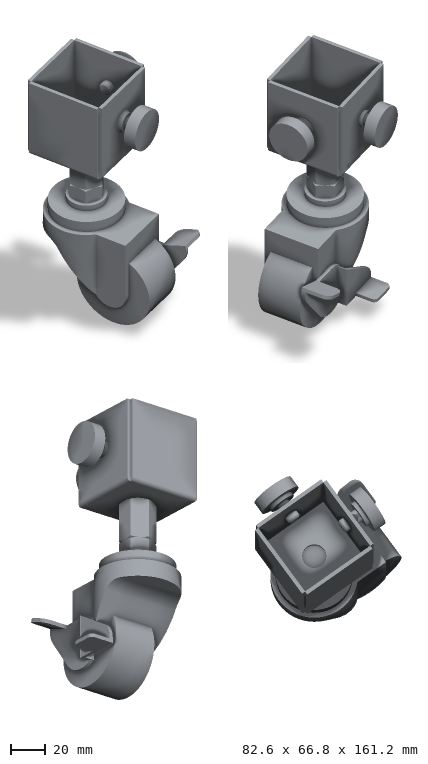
import cadquery as cq
import math


wheel_diameter = 50.0
wheel_width = 28.0
axle_x = 27.3
axle_z = wheel_diameter / 2

fork_head_diameter = 50.8
fork_block_width = 36.1
fork_foot_radius = 11.0
fork_top_z = 62.9
fork_head_bottom_z = 52.2
fork_slope_angle = 53.4
fork_slope_blend_radius = 11.3

swivel_plate_diameter = 45.0
swivel_plate_height = 7.3
washer_diameter = 24.2
washer_height = 4.0
stud_diameter = 12.0

nut_sides = 6
nut_across_flats = 19.0
nut_chamfer_angle = 30.0
lock_nut_height = 10.0
coupling_nut_height = 25.0

socket_width = 51.0
socket_sheet = 2.3
socket_top_z = 161.2
socket_corner_joint = 0.2
socket_floor_hole_diameter = 14.0

knob_drop = 24.0
knob_head_diameter = 26.0
knob_head_height = 7.5
knob_collar_diameter = 16.0
knob_collar_height = 2.4
knob_shaft_diameter = 8.0
knob_shaft_length = 12.1
knob_tip_chamfer = 1.0
knob_x_end = 41.6
knob_y_end = 41.3

x_boss_base_diameter = 14.0
x_boss_flange_height = 0.5
x_boss_diameter = 12.5
x_boss_height = 2.7
y_boss_neck_diameter = 10.2
y_boss_neck_height = 0.8
y_boss_diameter = 10.6
y_boss_height = 2.4

brake_sheet = 2.3
brake_disc_radius = 16.1
brake_jog_x = 17.9
brake_jog_offset = 6.1
upper_pedal_corner_radius = 5.0
lower_pedal_corner_radius = 3.0
upper_pedal_start_x = 40.5
upper_pedal_tip_x = 56.3
upper_pedal_tip_z = 47.0
upper_pedal_end_y = 36.5
upper_lobe_side = (57.0, 42.5)
upper_lobe_middle = (56.3, 38.7)
upper_lobe_end = (54.2, 34.5)
lower_pedal_start_x = -7.7
lower_pedal_length = 17.3
lower_pedal_bottom_z = 11.5
lower_pedal_end_y = 40.0
lower_lobe_side_z = 15.2
lower_lobe_end = (-1.5, 25.3)
brake_jog_top_z = 38.4

swivel_plate_top_z = fork_top_z + swivel_plate_height
washer_top_z = swivel_plate_top_z + washer_height
lock_nut_top_z = washer_top_z + lock_nut_height
socket_bottom_z = lock_nut_top_z + coupling_nut_height
socket_wall = socket_width / 2
socket_inner_width = socket_width - 2 * socket_sheet
socket_height = socket_top_z - socket_bottom_z
socket_flange_length = socket_inner_width + socket_corner_joint
knob_z = socket_top_z - knob_drop
brake_inner_y = fork_block_width / 2
brake_outer_y = brake_inner_y + brake_jog_offset
upper_pedal_start_z = axle_z + brake_disc_radius

x_turn = 0.0
y_turn = 90.0


def cylinder(diameter, bottom_z, top_z):
    return cq.Workplane("XY").workplane(offset=bottom_z).circle(diameter / 2).extrude(top_z - bottom_z)


def make_fork():
    slope = math.radians(fork_slope_angle)
    foot_x = axle_x - fork_foot_radius * math.sin(slope)
    foot_z = axle_z - fork_foot_radius * math.cos(slope)
    slope_top_x = foot_x - (fork_head_bottom_z - foot_z) / math.tan(slope)
    head_radius = fork_head_diameter / 2
    block_end_x = axle_x + fork_foot_radius
    side_profile = (
        cq.Workplane("XZ")
        .moveTo(-head_radius, fork_top_z)
        .lineTo(-head_radius, fork_head_bottom_z)
        .lineTo(slope_top_x, fork_head_bottom_z)
        .lineTo(foot_x, foot_z)
        .threePointArc((axle_x, axle_z - fork_foot_radius), (block_end_x, axle_z))
        .lineTo(block_end_x, fork_top_z)
        .close()
        .extrude(head_radius, both=True)
        .edges(cq.selectors.NearestToPointSelector((slope_top_x, 0, fork_head_bottom_z)))
        .fillet(fork_slope_blend_radius)
    )
    block = cq.Workplane("XY").box(block_end_x, fork_block_width, fork_top_z, centered=(False, True, False))
    plan = cylinder(fork_head_diameter, 0, fork_top_z).union(block)
    return side_profile.intersect(plan)


def make_wheel():
    return (
        cq.Workplane("XZ")
        .center(axle_x, axle_z)
        .circle(wheel_diameter / 2)
        .extrude(wheel_width / 2, both=True)
    )


def make_upper_brake_sheet():
    """Disc behind the wheel with the lobe that carries the upper pedal, ending at the jog."""
    lobe_end_x = upper_lobe_end[0] - axle_x
    lobe_end_z = upper_lobe_end[1] - axle_z
    distance = math.hypot(lobe_end_x, lobe_end_z)
    tangent_angle = math.atan2(lobe_end_z, lobe_end_x) - math.acos(brake_disc_radius / distance)
    tangent_x = axle_x + brake_disc_radius * math.cos(tangent_angle)
    tangent_z = axle_z + brake_disc_radius * math.sin(tangent_angle)

    plane = cq.Workplane("XZ", origin=(0, brake_inner_y, 0))
    disc = plane.moveTo(axle_x, axle_z).circle(brake_disc_radius).extrude(-brake_sheet)
    lobe = (
        plane.moveTo(axle_x, axle_z)
        .lineTo(axle_x, upper_pedal_start_z)
        .lineTo(upper_pedal_start_x, upper_pedal_start_z)
        .lineTo(upper_pedal_tip_x, upper_pedal_tip_z)
        .lineTo(*upper_lobe_side)
        .threePointArc(upper_lobe_middle, upper_lobe_end)
        .lineTo(tangent_x, tangent_z)
        .close()
        .extrude(-brake_sheet)
    )
    past_jog = cq.Workplane("XY").box(brake_jog_x, brake_outer_y, fork_top_z, centered=False)
    return disc.union(lobe).cut(past_jog)


def make_lower_brake_sheet():
    """Lobe that carries the lower pedal, bent at the jog to reach the plane of the disc."""
    lobe = (
        cq.Workplane("XZ", origin=(0, brake_inner_y, 0))
        .moveTo(brake_jog_x + brake_sheet, lower_pedal_bottom_z)
        .lineTo(lower_pedal_start_x, lower_pedal_bottom_z)
        .lineTo(lower_pedal_start_x, lower_lobe_side_z)
        .tangentArcPoint(lower_lobe_end, relative=False)
        .lineTo(brake_jog_x + brake_sheet, brake_jog_top_z)
        .close()
        .extrude(-brake_jog_offset - brake_sheet)
    )
    room_inside_jog = (
        cq.Workplane("XY")
        .box(brake_jog_x - lower_pedal_start_x, brake_outer_y, fork_top_z, centered=False)
        .translate((lower_pedal_start_x, 0, 0))
    )
    return lobe.cut(room_inside_jog)


def make_pedal(length, depth, corner_radius):
    """Flat pedal from the origin toward +X and +Y, with its two free corners rounded."""
    return (
        cq.Workplane("XY")
        .box(length, depth, brake_sheet, centered=False)
        .edges("|Z and >Y")
        .fillet(corner_radius)
    )


def make_brake():
    rise = upper_pedal_tip_z - upper_pedal_start_z
    run = upper_pedal_tip_x - upper_pedal_start_x
    upper_depth = upper_pedal_end_y - brake_inner_y
    upper_pedal = (
        make_pedal(math.hypot(run, rise), upper_depth, upper_pedal_corner_radius)
        .translate((0, 0, -brake_sheet))
        .rotate((0, 0, 0), (0, 1, 0), -math.degrees(math.atan2(rise, run)))
        .translate((upper_pedal_start_x, brake_inner_y, upper_pedal_start_z))
    )
    lower_depth = lower_pedal_end_y - brake_outer_y
    lower_pedal = make_pedal(lower_pedal_length, lower_depth, lower_pedal_corner_radius).translate(
        (lower_pedal_start_x, brake_outer_y, lower_pedal_bottom_z)
    )
    sheet = make_upper_brake_sheet().union(make_lower_brake_sheet())
    return sheet.union(upper_pedal).union(lower_pedal)


def make_caster():
    """Fork with its wheel, brake lever, swivel plate, washer and stud, as one body."""
    swivel_plate = cylinder(swivel_plate_diameter, fork_top_z, swivel_plate_top_z)
    washer = cylinder(washer_diameter, swivel_plate_top_z, washer_top_z)
    stud = cylinder(stud_diameter, washer_top_z, socket_bottom_z)
    caster = make_fork().union(make_wheel()).union(make_brake())
    return caster.union(swivel_plate).union(washer).union(stud)


def make_nut(bottom_z, height):
    """Hexagon nut with corners along X, both ends chamfered, bored for the stud."""
    face_radius = nut_across_flats / 2
    corner_radius = face_radius / math.cos(math.pi / nut_sides)
    chamfer_height = (corner_radius - face_radius) * math.tan(math.radians(nut_chamfer_angle))
    hexagon = cq.Workplane("XY").polygon(nut_sides, 2 * corner_radius).extrude(height)
    chamfered_blank = (
        cq.Workplane("XZ")
        .moveTo(0, 0)
        .lineTo(face_radius, 0)
        .lineTo(corner_radius, chamfer_height)
        .lineTo(corner_radius, height - chamfer_height)
        .lineTo(face_radius, height)
        .lineTo(0, height)
        .close()
        .revolve(360, (0, 0, 0), (0, 1, 0))
    )
    bore = cylinder(stud_diameter, 0, height)
    return hexagon.intersect(chamfered_blank).cut(bore).translate((0, 0, bottom_z))


def make_socket_fold():
    """Block as wide as the socket along X, with its two lower edges bent round."""
    return (
        cq.Workplane("XY")
        .box(socket_width, socket_flange_length, socket_height, centered=(True, True, False))
        .edges("|Y and <Z")
        .fillet(socket_sheet)
    )


def on_knob_axis(shape, turn):
    """Lay a shape modelled along +Z onto the knob height, pointing to +X and then turned about Z."""
    return shape.rotate((0, 0, 0), (0, 1, 0), 90).rotate((0, 0, 0), (0, 0, 1), turn).translate((0, 0, knob_z))


def make_x_boss():
    """Round boss with a thin flange at the wall, blended in by a small concave curve."""
    radius = x_boss_diameter / 2
    flare = x_boss_base_diameter / 2 - radius
    flange_end = socket_wall + x_boss_flange_height
    flare_middle = flare * (1 - math.sqrt(0.5))
    return (
        cq.Workplane("XZ")
        .moveTo(0, socket_wall)
        .lineTo(radius + flare, socket_wall)
        .lineTo(radius + flare, flange_end)
        .threePointArc((radius + flare_middle, flange_end + flare_middle), (radius, flange_end + flare))
        .lineTo(radius, socket_wall + x_boss_height)
        .lineTo(0, socket_wall + x_boss_height)
        .close()
        .revolve(360, (0, 0, 0), (0, 1, 0))
    )


def make_y_boss():
    """Round boss with a slightly narrower neck at the wall."""
    neck_end = socket_wall + y_boss_neck_height
    neck = cylinder(y_boss_neck_diameter, socket_wall, neck_end)
    return neck.union(cylinder(y_boss_diameter, neck_end, socket_wall + y_boss_height))


def make_socket():
    fold = make_socket_fold()
    shell = fold.union(fold.rotate((0, 0, 0), (0, 0, 1), 90))
    cavity = (
        cq.Workplane("XY")
        .workplane(offset=socket_sheet)
        .rect(socket_inner_width, socket_inner_width)
        .extrude(socket_height)
    )
    floor_hole = cylinder(socket_floor_hole_diameter, 0, socket_sheet)
    socket = shell.cut(cavity).cut(floor_hole).translate((0, 0, socket_bottom_z))

    screw_hole = cylinder(knob_shaft_diameter, socket_inner_width / 2, socket_wall + x_boss_height)
    for boss, turn in ((make_x_boss(), x_turn), (make_y_boss(), y_turn)):
        socket = socket.union(on_knob_axis(boss, turn))
        socket = socket.cut(on_knob_axis(screw_hole, turn))
    return socket


def make_knob(end, turn):
    """Knob screw whose head ends at the given distance from the Z axis."""
    head_start = end - knob_head_height
    collar_start = head_start - knob_collar_height
    shaft_start = collar_start - knob_shaft_length
    shaft = cylinder(knob_shaft_diameter, shaft_start, collar_start).faces("<Z").chamfer(knob_tip_chamfer)
    collar = cylinder(knob_collar_diameter, collar_start, head_start)
    head = cylinder(knob_head_diameter, head_start, end)
    return on_knob_axis(shaft.union(collar).union(head), turn)


caster = make_caster()
lock_nut = make_nut(washer_top_z, lock_nut_height)
coupling_nut = make_nut(lock_nut_top_z, coupling_nut_height)
socket = make_socket()
knobs = [make_knob(end, turn).val() for end, turn in ((knob_x_end, x_turn), (knob_y_end, y_turn))]

result = cq.Compound.makeCompound([caster.val(), lock_nut.val(), coupling_nut.val(), socket.val(), *knobs])